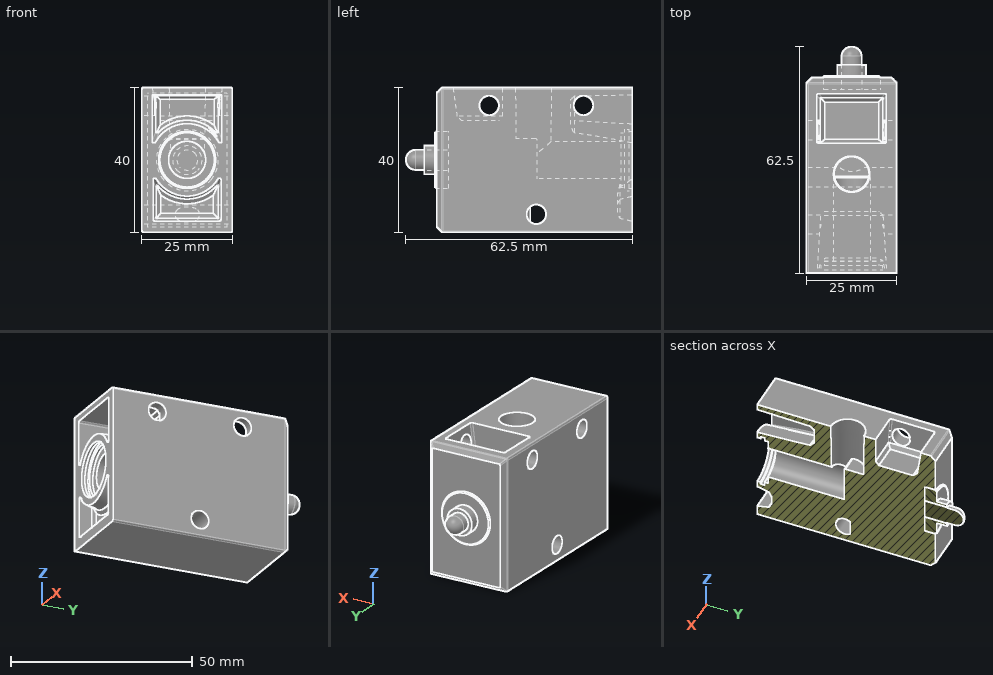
import cadquery as cq
import math

LENGTH = 62.5
WIDTH = 25.0
HEIGHT = 40.0
BODY_LENGTH = 54.0
REAR_CHAMFER = 1.5
EDGE_ROUND = 0.5

SEAT_RADIUS = 7.5
SEAT_DEPTH = 3.25
MOUTH_RADIUS = 7.9
GROOVE_RADIUS = 8.5
GROOVE_START = 1.0
GROOVE_END = 2.25
BORE_RADIUS = 5.1
BORE_END = 26.3

PORT_RADIUS = 4.75
PORT_MOUTH_RADIUS = 5.0
PORT_Y = 27.3
PORT_LEDGE_Z = 6.0
PORT_LEDGE_BEVEL = 0.4

POCKET_ROUND = 0.5
BARREL_RADIUS = 10.0
TOP_POCKET_FRONT = 35.9
TOP_POCKET_REAR = 49.5

MOUNT_DIAMETER = 5.3
MOUNT_Z = 15.0
UPPER_MOUNT_Y = (13.5, 39.5)
LOWER_MOUNT_Y = sum(UPPER_MOUNT_Y) / 2

INNER_WALL_RADIUS = 6.0
INNER_WALL_FRONT = 28.1

BUSH_RADIUS = MOUTH_RADIUS
BUSH_RIM = 0.45
BUSH_RIM_CHAMFER = 0.4
COLLAR_RADIUS = 4.0
COLLAR_END = 57.45

PIN_RADIUS = 2.8
DOME_HEIGHT = 2.55

BUSH_START = BODY_LENGTH - SEAT_DEPTH


def cylinder_along_y(radius, start, end):
    """Round bar on the bore axis between two y positions."""
    return cq.Workplane("XZ", origin=(0, start, 0)).circle(radius).extrude(start - end)


def cone_along_y(start_radius, end_radius, start, end):
    """Tapered bar on the bore axis between two y positions."""
    profile = [(0, start), (start_radius, start), (end_radius, end), (0, end)]
    return cq.Workplane("XY").polyline(profile).close().revolve(360, (0, 0), (0, 1))


def tapered_block(plane, half_width, low, high, depth, side_draft, low_draft, high_draft):
    """Block running inward from a plane, with walls that each lean in by their own draft."""
    return (
        plane.center(0, (low + high) / 2)
        .rect(2 * half_width, high - low)
        .workplane(offset=-depth)
        .center(0, (low_draft - high_draft) / 2)
        .rect(2 * (half_width - side_draft), high - low - low_draft - high_draft)
        .loft(ruled=True)
    )


def outer_block():
    block = cq.Workplane("XY").box(WIDTH, BODY_LENGTH, HEIGHT).translate((0, BODY_LENGTH / 2, 0))
    block = block.faces(">Y").chamfer(REAR_CHAMFER)
    end_faces = block.faces("<Y or >Y").edges().vals()
    sides = [e for e in block.edges().vals() if not any(e.isSame(end) for end in end_faces)]
    return block.newObject(sides).fillet(EDGE_ROUND)


def front_bore():
    bore = cylinder_along_y(BORE_RADIUS, 0, BORE_END)
    seat = cylinder_along_y(SEAT_RADIUS, 0, SEAT_DEPTH)
    groove = cylinder_along_y(GROOVE_RADIUS, GROOVE_START, GROOVE_END)
    mouth = cylinder_along_y(MOUTH_RADIUS, 0, GROOVE_START)
    return bore.union(seat).union(groove).union(mouth)


def outlet_port():
    """Tapered port with a flat ledge behind the bore end, beveled where it drops into the bore."""
    ledge = [
        (BODY_LENGTH, PORT_LEDGE_Z),
        (BORE_END + PORT_LEDGE_BEVEL, PORT_LEDGE_Z),
        (BORE_END, PORT_LEDGE_Z - PORT_LEDGE_BEVEL),
        (BORE_END, 0),
        (BODY_LENGTH, 0),
    ]
    ledge_block = cq.Workplane("YZ").polyline(ledge).close().extrude(PORT_MOUTH_RADIUS, both=True)
    port = (
        cq.Workplane("XY", origin=(0, PORT_Y, HEIGHT / 2))
        .circle(PORT_MOUTH_RADIUS)
        .workplane(offset=-HEIGHT / 2)
        .circle(PORT_RADIUS)
        .loft()
    )
    return port.cut(ledge_block)


def top_pocket():
    half_width = 9.6
    wall_depth = 7.9
    side_draft = 1.0
    rear_draft = 1.1
    bevel = 1.2
    front_bevel = 1.0
    walls = tapered_block(
        cq.Workplane("XY", origin=(0, 0, HEIGHT / 2)), half_width, TOP_POCKET_FRONT, TOP_POCKET_REAR,
        wall_depth, side_draft, 0, rear_draft,
    )
    walls = walls.edges("not(<Z or >Z)").fillet(POCKET_ROUND)
    floor = tapered_block(
        cq.Workplane("XY", origin=(0, 0, HEIGHT / 2 - wall_depth)), half_width - side_draft,
        TOP_POCKET_FRONT, TOP_POCKET_REAR - rear_draft, bevel, bevel, front_bevel, bevel,
    )
    return walls.union(floor)


def front_pocket(half_width, outer_z, side_draft, outer_draft, barrel_draft, wall_depth,
                 bevel, outer_bevel, bevel_depth):
    """Pocket above the barrel: drafted walls down to wall_depth, then a beveled floor."""
    walls = tapered_block(
        cq.Workplane("XZ"), half_width, 0, outer_z, wall_depth, side_draft, 0, outer_draft
    )
    walls = walls.cut(cone_along_y(BARREL_RADIUS, BARREL_RADIUS + barrel_draft, 0, wall_depth))
    walls = walls.edges("not(<Y or >Y)").fillet(POCKET_ROUND)
    floor = tapered_block(
        cq.Workplane("XZ", origin=(0, wall_depth, 0)), half_width - side_draft, 0, outer_z - outer_draft,
        bevel_depth, bevel, 0, outer_bevel,
    )
    rim_radius = BARREL_RADIUS + barrel_draft
    floor = floor.cut(cone_along_y(rim_radius, rim_radius + bevel, wall_depth, wall_depth + bevel_depth))
    return walls.union(floor)


def cross_hole(y, z):
    return cq.Workplane("YZ").center(y, z).circle(MOUNT_DIAMETER / 2).extrude(WIDTH / 2, both=True)


def lower_cross_hole():
    """Cross hole that leaves the round inner wall standing."""
    wall_y = INNER_WALL_FRONT + INNER_WALL_RADIUS
    wall = cq.Workplane("XY").center(0, wall_y).circle(INNER_WALL_RADIUS).extrude(-HEIGHT / 2)
    return cross_hole(LOWER_MOUNT_Y, -MOUNT_Z).cut(wall)


def make_housing():
    housing = outer_block().cut(front_bore()).cut(outlet_port()).cut(top_pocket())
    upper = front_pocket(
        half_width=9.6, outer_z=18.0, side_draft=1.0, outer_draft=0.4, barrel_draft=0.95,
        wall_depth=16.0, bevel=1.2, outer_bevel=0.95, bevel_depth=1.1,
    )
    lower = front_pocket(
        half_width=9.4, outer_z=16.9, side_draft=0.8, outer_draft=0.8, barrel_draft=0.8,
        wall_depth=3.5, bevel=1.3, outer_bevel=1.3, bevel_depth=0.75,
    ).mirror("XY")
    housing = housing.cut(upper).cut(lower)
    for y in UPPER_MOUNT_Y:
        housing = housing.cut(cross_hole(y, MOUNT_Z))
    housing = housing.cut(lower_cross_hole())
    return housing.cut(cylinder_along_y(BUSH_RADIUS, BUSH_START, BODY_LENGTH))


def make_bush():
    rim_end = BODY_LENGTH + BUSH_RIM
    flange = cylinder_along_y(BUSH_RADIUS, BUSH_START, rim_end).faces(">Y").chamfer(BUSH_RIM_CHAMFER)
    collar = cylinder_along_y(COLLAR_RADIUS, BUSH_START, COLLAR_END)
    return flange.union(collar).cut(cylinder_along_y(PIN_RADIUS, BUSH_START, COLLAR_END))


def make_pin():
    dome_base = LENGTH - DOME_HEIGHT
    dome_radius = (PIN_RADIUS**2 + DOME_HEIGHT**2) / (2 * DOME_HEIGHT)
    middle = dome_radius * math.sqrt(0.5)
    return (
        cq.Workplane("XY")
        .moveTo(0, BUSH_START)
        .lineTo(PIN_RADIUS, BUSH_START)
        .lineTo(PIN_RADIUS, dome_base)
        .threePointArc((middle, LENGTH - dome_radius + middle), (0, LENGTH))
        .close()
        .revolve(360, (0, 0), (0, 1))
    )


housing = make_housing()
bush = make_bush()
pin = make_pin()

result = cq.Compound.makeCompound([housing.solids().val(), bush.solids().val(), pin.solids().val()])